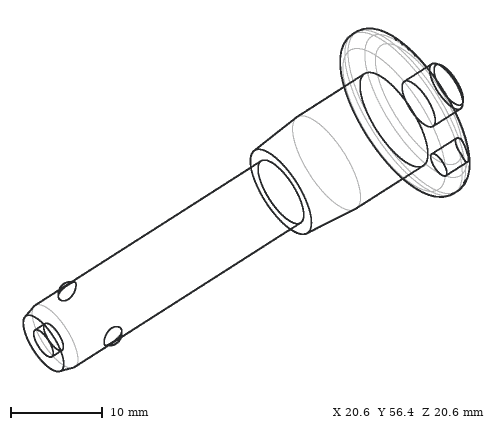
import cadquery as cq
import math

length = 56.4
tip_y = -length / 2
button_end_y = length / 2

shank_radius = 8.0 / 2
tip_radius = 7.1 / 2
tip_taper_length = 1.6
bore_diameter = 3.45
bore_depth = 1.4

ball_radius = 1.4
ball_span = 9.5
ball_from_tip = 6.5

flange_radius = 20.6 / 2
flange_thickness = 3.45
rim_fillet = 1.3
rim_band = 0.45
flange_back_radius = 7.6
collar_radius = 11.9 / 2
collar_length = 9.4
nose_end_radius = 10.7 / 2
nose_length = 6.3
lanyard_hole_diameter = 2.8
lanyard_hole_x = 7.85

button_radius = 5.8 / 2
button_height = 4.2
button_chamfer = 0.35

flange_back_y = button_end_y - button_height
flange_front_y = flange_back_y - flange_thickness
nose_start_y = flange_front_y - collar_length
nose_end_y = nose_start_y - nose_length


def make_turned_body():
    """Revolve the half profile of the shank, handle and button about Y."""
    rim_center_radius = flange_radius - rim_fillet
    front_center_y = flange_front_y + rim_fillet
    back_center_y = front_center_y + rim_band
    diagonal = rim_fillet * math.sqrt(0.5)
    profile = (
        cq.Workplane("XY")
        .moveTo(0, tip_y)
        .lineTo(tip_radius, tip_y)
        .lineTo(shank_radius, tip_y + tip_taper_length)
        .lineTo(shank_radius, nose_end_y)
        .lineTo(nose_end_radius, nose_end_y)
        .lineTo(collar_radius, nose_start_y)
        .lineTo(collar_radius, flange_front_y)
        .lineTo(rim_center_radius, flange_front_y)
        .threePointArc(
            (rim_center_radius + diagonal, front_center_y - diagonal),
            (flange_radius, front_center_y),
        )
        .lineTo(flange_radius, back_center_y)
        .threePointArc(
            (rim_center_radius + diagonal, back_center_y + diagonal),
            (rim_center_radius, back_center_y + rim_fillet),
        )
        .lineTo(flange_back_radius, flange_back_y)
        .lineTo(button_radius, flange_back_y)
        .lineTo(button_radius, button_end_y - button_chamfer)
        .lineTo(button_radius - button_chamfer, button_end_y)
        .lineTo(0, button_end_y)
        .close()
    )
    return profile.revolve(360, (0, 0, 0), (0, 1, 0))


def make_hole(diameter, x, start_y, depth):
    """Cylinder running from start_y toward +Y."""
    return cq.Workplane("XZ", origin=(x, start_y, 0)).circle(diameter / 2).extrude(-depth)


def make_ball(side):
    """Locking ball partly sunk in the shank; side is -1 or 1 along X."""
    ball_x = side * (ball_span / 2 - ball_radius)
    return cq.Workplane("XY").sphere(ball_radius).translate((ball_x, tip_y + ball_from_tip, 0))


result = make_turned_body()
for ball_side in (-1, 1):
    result = result.union(make_ball(ball_side))
result = result.cut(make_hole(bore_diameter, 0, tip_y, bore_depth))
result = result.cut(make_hole(lanyard_hole_diameter, lanyard_hole_x, flange_front_y, flange_thickness))